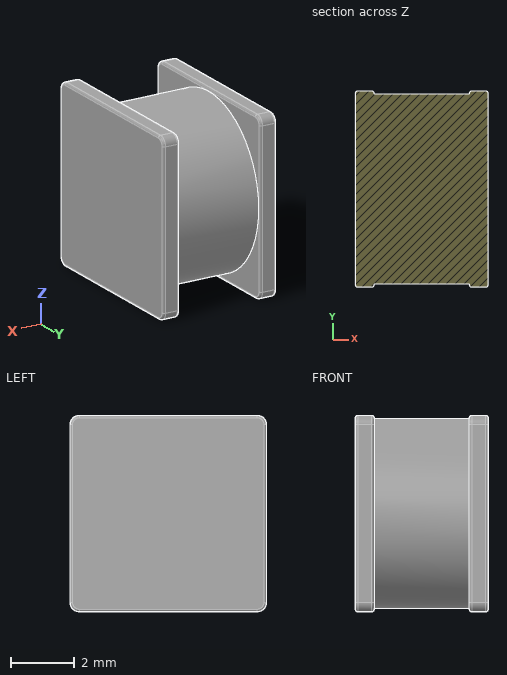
import cadquery as cq

total_length = 4.2
flange_side = 6.2
flange_thickness = 0.6
corner_radius = 0.3
edge_radius = 0.08
core_diameter = 6.0

half_length = total_length / 2


def flange(start_x):
    """Square plate with rounded corners and softened rims, extending in +X from start_x."""
    plate = (
        cq.Workplane("YZ", origin=(start_x, 0, 0))
        .rect(flange_side, flange_side)
        .extrude(flange_thickness)
    )
    return plate.edges("|X").fillet(corner_radius).faces("<X or >X").edges().fillet(edge_radius)


core = (
    cq.Workplane("YZ", origin=(flange_thickness - half_length, 0, 0))
    .circle(core_diameter / 2)
    .extrude(total_length - 2 * flange_thickness)
)

result = core.union(flange(-half_length)).union(flange(half_length - flange_thickness))